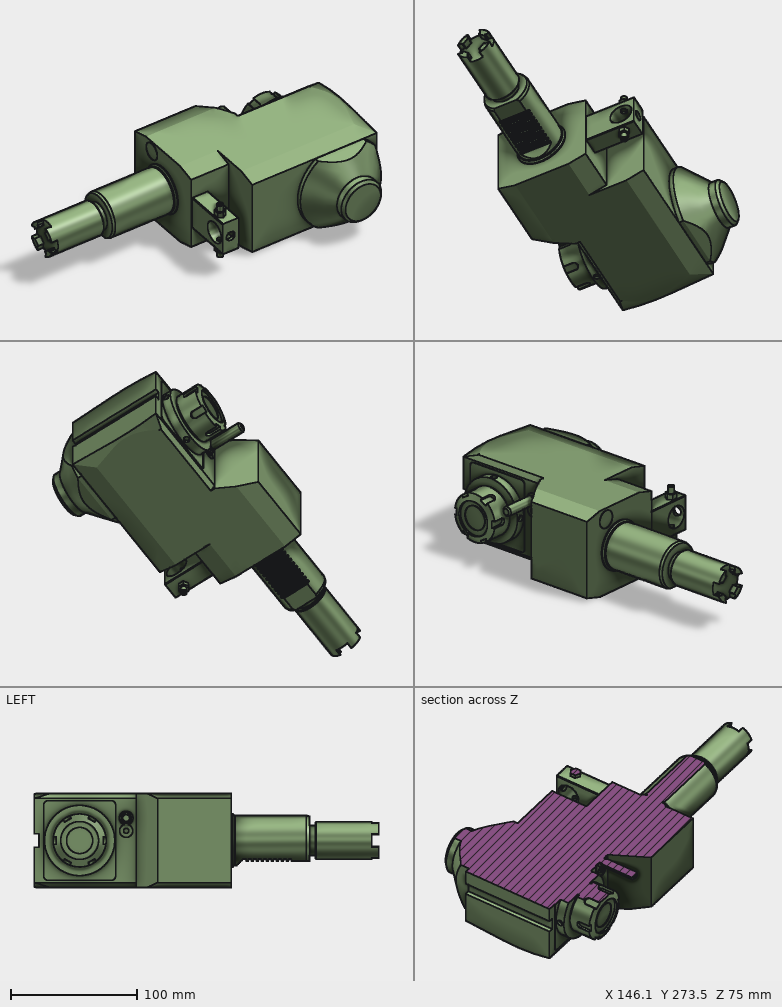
import cadquery as cq
import math


half_height = 37.5
bevel_drop = 4.0
foot_left = -38.8
foot_right = 39.5
head_left = -8.5
head_right = 72.5
foot_bevel = 15.3
head_left_bevel = 3.8
step_y = 36.0
slope_start_y = 58.5
slope_end_y = 75.5
back_y = 156.5
crown_length = 12.0
crown_rise = 3.0
crown_arc_end_x = 35.5
crown_arc_end_z = 36.5
keyway_width = 10.7
keyway_depth = 3.8

collar_radius = 21.3
collar_rim = 0.8
collar_length = 2.2
relief_radius = 19.5
relief_end = -3.0
shank_radius = 20.0
shank_end = -62.0
shank_chamfer = 2.5
shank_chamfer_height = 0.8
neck_radius = 12.0
neck_end = -66.7
drive_radius = 15.0
drive_chamfer = 0.8
drive_end = -111.5
shaft_end = -117.0
rack_crest_z = -16.5
rack_root_z = -14.8
rack_ramp_end = -9.3
rack_first_gap = 2.2
rack_first_gap_y = -10.7
rack_last_gap_y = -46.5
rack_gap_count = 9
rack_pitch = (rack_first_gap_y - rack_last_gap_y) / rack_gap_count
rack_mouth = 2.7
rack_floor = 1.6
tooth_inner = 9.8
tooth_shoulder = 11.5
tooth_outer = 13.5
tooth_half_width = 3.3
tooth_outer_half_width = 6.0

spindle_y = 120.4
plate_width = 57.2
plate_height = 63.2
plate_corner = 3.5
plate_thickness = 0.5
flange_radius = 28.0
flange_left = -16.7
spanner_hole_radius = 2.5
spanner_hole_depth = 2.7
nut_radius = 21.0
nut_face_radius = 15.0
nut_left = -38.0
nut_cone_length = 2.0
nut_groove_radius = 19.7
nut_groove_width = 1.0
nut_slot_count = 6
nut_slot_width = 6.0
nut_slot_depth = 2.5
nut_slot_length = 13.5
collet_recess = 2.0
collet_bore_radius = 10.5
collet_bore_depth = 0.5

cap_radius = 40.5
cap_rim_right = 76.3
cap_nose_left = 96.8
cap_nose_radius = 19.5
cap_right = 105.3
cap_nose_chamfer = 2.5
cap_flat_offset = 31.7
cap_flat_start_z = 33.0
cap_flat_taper = 14.0

pin_y = 83.5
pin_z = 17.8
pin_radius = 4.0
pin_left = -40.8
pin_chamfer = 1.5
pin_neck_radius = 3.3
pin_neck_left = -11.0
pin_seat_radius = 5.5
plug_z = 7.7
plug_radius = 5.2
plug_socket_radius = 2.05
plug_socket_depth = 1.5
seat_thickness = 0.3

front_disc_x = -15.5
front_disc_z = 27.5
front_disc_radius = 7.7
front_disc_depth = 0.3

arm_right = 81.8
arm_front = 1.0
arm_back = 16.5
arm_half_height = 15.0
arm_chamfer = 0.5
arm_bore_x = 70.3
arm_bore_radius = 9.5
arm_side_hole_radius = 4.0
screw_y = 6.5
screw_radius = 2.6
screw_top = 25.5
screw_tip = 11.8
screw_socket_size = 3.0
screw_socket_depth = 2.2
lock_nut_across_corners = 9.0
lock_nut_top = 19.7


def cylinder_x(radius, x_start, x_end, y, z):
    plane = cq.Workplane("YZ", origin=(x_start, y, z))
    return plane.circle(radius).extrude(x_end - x_start)


def cylinder_y(radius, y_start, y_end, x, z):
    plane = cq.Workplane("XZ", origin=(x, y_start, z))
    return plane.circle(radius).extrude(y_start - y_end)


def box_between(x0, x1, y0, y1, z0, z1):
    return cq.Workplane("XY").box(x1 - x0, y1 - y0, z1 - z0, centered=False).translate((x0, y0, z0))


def mirrored_pair(solid):
    return solid.union(solid.mirror("XY"))


def housing_block(left, left_bevel, right, y_start, y_end):
    """Prism along Y whose four long edges are bevelled."""
    edge_z = half_height - bevel_drop
    upper = [
        (left, edge_z),
        (left + left_bevel, half_height),
        (right - foot_bevel, half_height),
        (right, edge_z),
    ]
    lower = [(x, -z) for x, z in reversed(upper)]
    return cq.Workplane("XZ", origin=(0, y_start, 0)).polyline(upper + lower).close().extrude(y_start - y_end)


def crown_profile(y, rise):
    """Upper half of the bulged head outline in X and Z, lifted by the given rise."""
    side_z = half_height - bevel_drop + rise
    return (
        cq.Workplane("XZ", origin=(0, y, 0))
        .moveTo(head_right, 0)
        .lineTo(head_right, side_z)
        .lineTo(crown_arc_end_x, crown_arc_end_z + rise)
        .tangentArcPoint((head_left, side_z), relative=False)
        .lineTo(head_left, 0)
        .close()
        .val()
    )


def make_housing():
    foot = housing_block(foot_left, foot_bevel, foot_right, 0, step_y)
    middle = housing_block(foot_left, foot_bevel, head_right, step_y, slope_end_y)
    shoulder_gap = (
        cq.Workplane("XY", origin=(0, 0, -half_height))
        .polyline([(foot_left, slope_start_y), (head_left, slope_end_y), (foot_left, slope_end_y)])
        .close()
        .extrude(2 * half_height)
    )
    crown_start = back_y - crown_length
    head = housing_block(head_left, head_left_bevel, head_right, slope_end_y, crown_start)
    tail = housing_block(head_left, head_left_bevel, head_right, crown_start, back_y)
    crown = cq.Solid.makeLoft([crown_profile(crown_start, crown_rise), crown_profile(back_y, 0)], True)
    tail = tail.intersect(mirrored_pair(cq.Workplane(crown)))
    keyway = box_between(
        head_left, head_right, back_y - keyway_depth, back_y, -keyway_width / 2, keyway_width / 2
    )
    disc = cylinder_y(front_disc_radius, 0, front_disc_depth, front_disc_x, front_disc_z)
    return foot.union(middle.cut(shoulder_gap)).union(head).union(tail).cut(keyway).cut(disc)


def make_rack_cut():
    """Flat with a ramp and rack gaps, cut into the underside of the shank."""
    below = -2 * shank_radius
    first_gap_end = rack_ramp_end - rack_first_gap
    flat = [
        (rack_ramp_end + rack_root_z - below, below),
        (rack_ramp_end, rack_root_z),
        (first_gap_end, rack_root_z),
        (first_gap_end - (rack_mouth - rack_floor) / 2, rack_crest_z),
        (shank_end, rack_crest_z),
        (shank_end, below),
    ]
    plane = cq.Workplane("YZ", origin=(-collar_radius, 0, 0))
    cutter = plane.polyline(flat).close().extrude(2 * collar_radius)
    for index in range(1, rack_gap_count + 1):
        y = rack_first_gap_y - index * rack_pitch
        gap = [
            (y - rack_mouth / 2, rack_crest_z),
            (y - rack_floor / 2, rack_root_z),
            (y + rack_floor / 2, rack_root_z),
            (y + rack_mouth / 2, rack_crest_z),
        ]
        cutter = cutter.union(plane.polyline(gap).close().extrude(2 * collar_radius))
    return cutter


def make_shaft():
    """Turned shaft on the Y axis with the rack cut and four drive teeth."""
    profile = [
        (0, 0),
        (collar_radius, 0),
        (collar_radius, -collar_rim),
        (shank_radius, -collar_length),
        (relief_radius, -collar_length),
        (relief_radius, relief_end),
        (shank_radius, relief_end),
        (shank_radius, shank_end + shank_chamfer),
        (shank_radius - shank_chamfer_height, shank_end),
        (neck_radius, shank_end),
        (neck_radius, neck_end),
        (drive_radius - drive_chamfer, neck_end),
        (drive_radius, neck_end - drive_chamfer),
        (drive_radius, shaft_end),
        (0, shaft_end),
    ]
    shaft = cq.Workplane("XY").polyline(profile).close().revolve(360, (0, 0, 0), (0, 1, 0))
    shaft = shaft.cut(make_rack_cut())
    tooth_outline = [
        (tooth_inner, -tooth_half_width),
        (tooth_shoulder, -tooth_half_width),
        (tooth_outer, -tooth_outer_half_width),
        (2 * drive_radius, -tooth_outer_half_width),
        (2 * drive_radius, tooth_outer_half_width),
        (tooth_outer, tooth_outer_half_width),
        (tooth_shoulder, tooth_half_width),
        (tooth_inner, tooth_half_width),
    ]
    tooth = cq.Workplane("XZ", origin=(0, drive_end, 0)).polyline(tooth_outline).close()
    tooth = tooth.extrude(drive_end - shaft_end)
    gaps = cylinder_y(1.5 * drive_radius, shaft_end, drive_end, 0, 0)
    for angle in (45, 135, 225, 315):
        gaps = gaps.cut(tooth.rotate((0, 0, 0), (0, 1, 0), angle))
    return shaft.cut(gaps)


def make_nut():
    """Collet nut with a shallow conical face, wrench slots and a recessed collet."""
    profile = [
        (nut_left, 0),
        (nut_left, nut_face_radius),
        (nut_left + nut_cone_length, nut_radius),
        (flange_left - nut_groove_width, nut_radius),
        (flange_left - nut_groove_width, nut_groove_radius),
        (flange_left, nut_groove_radius),
        (flange_left, 0),
    ]
    nut = cq.Workplane("XY").polyline(profile).close().revolve(360, (0, 0, 0), (1, 0, 0))
    slot_end_center = nut_left + nut_slot_length - nut_slot_width / 2
    slot = (
        cq.Workplane("XY", origin=(0, 0, nut_radius - nut_slot_depth))
        .moveTo(nut_left, -nut_slot_width / 2)
        .lineTo(slot_end_center, -nut_slot_width / 2)
        .threePointArc((nut_left + nut_slot_length, 0), (slot_end_center, nut_slot_width / 2))
        .lineTo(nut_left, nut_slot_width / 2)
        .close()
        .extrude(2 * nut_slot_depth)
    )
    for index in range(nut_slot_count):
        angle = 90 + index * 360 / nut_slot_count
        nut = nut.cut(slot.rotate((0, 0, 0), (1, 0, 0), angle))
    recess_floor = nut_left + collet_recess
    nut = nut.cut(cylinder_x(nut_face_radius, nut_left, recess_floor, 0, 0))
    nut = nut.cut(cylinder_x(collet_bore_radius, recess_floor, recess_floor + collet_bore_depth, 0, 0))
    return nut.translate((0, spindle_y, 0))


def make_spindle_nose():
    plate = (
        cq.Workplane("YZ", origin=(head_left, spindle_y, 0))
        .rect(plate_width, plate_height)
        .extrude(-plate_thickness)
        .edges("|X")
        .fillet(plate_corner)
    )
    flange = cylinder_x(flange_radius, flange_left, head_left, spindle_y, 0)
    hole_x = (flange_left + head_left - plate_thickness) / 2
    hole = cq.Workplane("XY", origin=(hole_x, 0, flange_radius - spanner_hole_depth))
    hole = hole.circle(spanner_hole_radius).extrude(2 * spanner_hole_depth)
    for angle in (0, 90, 180, 270):
        flange = flange.cut(hole.rotate((0, 0, 0), (1, 0, 0), angle).translate((0, spindle_y, 0)))
    return plate.union(flange).union(make_nut())


def make_rear_cap():
    """Conical cap behind the spindle, flattened on its +Y side and, tapered, above and below."""
    profile = [
        (head_right, 0),
        (head_right, cap_radius),
        (cap_rim_right, cap_radius),
        (cap_nose_left, cap_nose_radius),
        (cap_right - cap_nose_chamfer, cap_nose_radius),
        (cap_right, cap_nose_radius - cap_nose_chamfer),
        (cap_right, 0),
    ]
    cap = cq.Workplane("XY").polyline(profile).close().revolve(360, (0, 0, 0), (1, 0, 0))
    end_z = cap_flat_start_z - (cap_right - cap_rim_right) * math.tan(math.radians(cap_flat_taper))
    envelope = (
        cq.Workplane("XZ", origin=(0, cap_flat_offset, 0))
        .polyline(
            [
                (head_right, -cap_flat_start_z),
                (head_right, cap_flat_start_z),
                (cap_rim_right, cap_flat_start_z),
                (cap_right, end_z),
                (cap_right, -end_z),
                (cap_rim_right, -cap_flat_start_z),
            ]
        )
        .close()
        .extrude(cap_flat_offset + cap_radius)
    )
    return cap.intersect(envelope).translate((0, spindle_y, 0))


def make_coolant_fittings():
    pin = cylinder_x(pin_radius, pin_left, pin_neck_left, pin_y, pin_z).faces("<X").chamfer(pin_chamfer)
    neck = cylinder_x(pin_neck_radius, pin_neck_left, head_left, pin_y, pin_z)
    seat = cylinder_x(pin_seat_radius, head_left - seat_thickness, head_left, pin_y, pin_z)
    plug = cylinder_x(plug_radius, head_left - seat_thickness, head_left, pin_y, plug_z)
    return pin.union(neck).union(seat).union(plug)


def make_plug_socket():
    start = head_left - seat_thickness
    return cylinder_x(plug_socket_radius, start, start + plug_socket_depth, pin_y, plug_z)


def make_arm():
    """Flat arm with a cross bore, an end hole and two opposed locking screws."""
    arm = box_between(foot_right, arm_right, arm_front, arm_back, -arm_half_height, arm_half_height)
    arm = arm.edges("|X").chamfer(arm_chamfer)
    arm = arm.cut(cylinder_y(arm_bore_radius, arm_front, arm_back, arm_bore_x, 0))
    arm_middle_y = (arm_front + arm_back) / 2
    arm = arm.cut(cylinder_x(arm_side_hole_radius, arm_bore_x, arm_right, arm_middle_y, 0))
    screw_plane = cq.Workplane("XY", origin=(arm_bore_x, screw_y, 0))
    hole = screw_plane.circle(screw_radius).extrude(screw_tip)
    stud = screw_plane.workplane(offset=screw_tip).circle(screw_radius).extrude(screw_top - screw_tip)
    socket = screw_plane.workplane(offset=screw_top).polygon(6, screw_socket_size).extrude(-screw_socket_depth)
    stud = stud.cut(socket)
    lock_nut = (
        screw_plane.workplane(offset=arm_half_height)
        .polygon(6, lock_nut_across_corners)
        .extrude(lock_nut_top - arm_half_height)
    )
    return arm.cut(mirrored_pair(hole)).union(mirrored_pair(stud.union(lock_nut)))


result = (
    make_housing()
    .union(make_shaft())
    .union(make_spindle_nose())
    .union(make_rear_cap())
    .union(make_coolant_fittings())
    .cut(make_plug_socket())
    .union(make_arm())
)